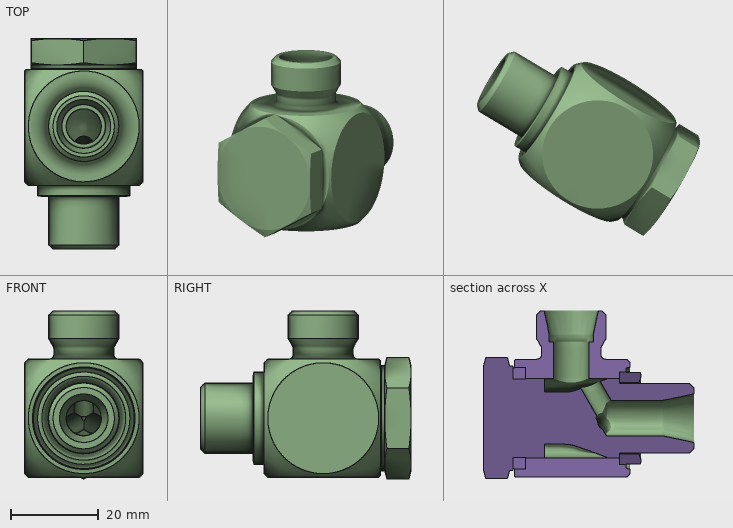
import cadquery as cq
import math


total_length = 48.0
head_back_y = 20.0
bolt_tip_y = head_back_y - total_length

housing_width = 27.0
half_width = housing_width / 2
housing_front_y = -half_width
housing_back_y = 13.0
sphere_radius = 18.5
housing_bore_dia = 18.0
groove_dia = 23.0
groove_depth = 1.0
groove_fillet = 0.45
groove_chamfer = 0.2
ring_seat_depth = 2.5

port_top_z = 24.5
port_dia = 16.0
port_chamfer = 1.0
port_thread_bottom_z = 18.15
neck_dia = 13.7
neck_fillet = 1.0
port_relief_angle = 30.0
port_bore_dia = 8.0
port_cone_mouth_dia = 12.3
port_cone_end_dia = 10.0
tube_stop_depth = 7.0
tube_cone_half_angle = 12.0

hex_across_flats = 24.0
hex_corner_radius = hex_across_flats / 2 / math.cos(math.radians(30))
hex_chamfer_angle = 15.0
hex_front_y = 14.0
collar_dia = 24.0
collar_front_y = 13.25
shank_dia = 17.95
waist_dia = 12.0
waist_back_y = 6.0
waist_fillet_start_y = 1.55
waist_fillet_length = 2.75
flare_angle = 20.0
shank_front_y = housing_front_y + ring_seat_depth
thread_dia = 16.0
thread_chamfer = 1.0
bolt_bore_dia = 8.0
bolt_cone_mouth_dia = 11.05
bolt_bore_end_y = -8.05
drill_half_angle = 59.0

flow_hole_count = 3
flow_hole_dia = 4.5
flow_hole_tilt = 30.0
flow_hole_exit_y = -4.35

ring_bore_dia = 16.2
front_ring_dia = 21.0
front_ring_edge_dia = 19.1
front_ring_tip_y = -16.0
front_ring_edge_drop = 0.2
front_ring_funnel_angle = 20.0

rear_ring_dia = 23.0


def cone_length(start_dia, end_dia, half_angle):
    """Axial length of a cone between two diameters."""
    return abs(start_dia - end_dia) / 2 / math.tan(math.radians(half_angle))


def revolve_about_y(profile):
    """Turn a closed (radius, y) profile drawn on the XY plane about the Y axis."""
    return profile.close().revolve(360, (0, 0, 0), (0, 1, 0))


def make_port():
    """Threaded tube connection with a relief neck, standing on the housing."""
    slope = math.radians(port_relief_angle)
    thread_radius = port_dia / 2
    neck_radius = neck_dia / 2
    relief_radius = neck_radius + neck_fillet * (1 - math.cos(slope))
    relief_bottom_z = port_thread_bottom_z - (thread_radius - relief_radius) / math.tan(slope)
    neck_top_z = relief_bottom_z - neck_fillet * math.sin(slope)
    half_slope = slope / 2
    fillet_mid = (
        neck_radius + neck_fillet * (1 - math.cos(half_slope)),
        neck_top_z + neck_fillet * math.sin(half_slope),
    )
    base_mid_offset = neck_fillet * (1 - math.sqrt(0.5))
    return (
        cq.Workplane("XZ")
        .moveTo(0, half_width - neck_fillet)
        .lineTo(neck_radius + neck_fillet, half_width - neck_fillet)
        .lineTo(neck_radius + neck_fillet, half_width)
        .threePointArc(
            (neck_radius + base_mid_offset, half_width + base_mid_offset),
            (neck_radius, half_width + neck_fillet),
        )
        .lineTo(neck_radius, neck_top_z)
        .threePointArc(fillet_mid, (relief_radius, relief_bottom_z))
        .lineTo(thread_radius, port_thread_bottom_z)
        .lineTo(thread_radius, port_top_z - port_chamfer)
        .lineTo(thread_radius - port_chamfer, port_top_z)
        .lineTo(0, port_top_z)
        .close()
        .revolve(360, (0, 0, 0), (0, 1, 0))
    )


def make_port_bore():
    """Tube cone, tube socket, stop ledge and flow bore, running down into the bolt bore."""
    cone_end_z = port_top_z - cone_length(port_cone_mouth_dia, port_cone_end_dia, tube_cone_half_angle)
    return (
        cq.Workplane("XZ")
        .lineTo(port_bore_dia / 2, 0)
        .lineTo(port_bore_dia / 2, port_top_z - tube_stop_depth)
        .lineTo(port_cone_end_dia / 2, port_top_z - tube_stop_depth)
        .lineTo(port_cone_end_dia / 2, cone_end_z)
        .lineTo(port_cone_mouth_dia / 2, port_top_z)
        .lineTo(0, port_top_z)
        .close()
        .revolve(360, (0, 0, 0), (0, 1, 0))
    )


def make_housing_bore():
    """Through bore for the bolt, with a ring seat at each end and a round-bottomed groove in the front face."""
    bore_radius = housing_bore_dia / 2
    groove_radius = groove_dia / 2
    front_seat_radius = front_ring_dia / 2
    rear_seat_radius = rear_ring_dia / 2
    groove_floor_y = housing_front_y + groove_depth
    fillet_mid_offset = groove_fillet * (1 - math.sqrt(0.5))
    return revolve_about_y(
        cq.Workplane("XY")
        .moveTo(0, housing_front_y)
        .lineTo(groove_radius + groove_chamfer, housing_front_y)
        .lineTo(groove_radius, housing_front_y + groove_chamfer)
        .lineTo(groove_radius, groove_floor_y - groove_fillet)
        .threePointArc(
            (groove_radius - fillet_mid_offset, groove_floor_y - fillet_mid_offset),
            (groove_radius - groove_fillet, groove_floor_y),
        )
        .lineTo(front_seat_radius, groove_floor_y)
        .lineTo(front_seat_radius, housing_front_y + ring_seat_depth)
        .lineTo(bore_radius, housing_front_y + ring_seat_depth)
        .lineTo(bore_radius, housing_back_y - ring_seat_depth)
        .lineTo(rear_seat_radius, housing_back_y - ring_seat_depth)
        .lineTo(rear_seat_radius, housing_back_y)
        .lineTo(0, housing_back_y)
    )


def make_housing():
    length = housing_back_y - housing_front_y
    block = cq.Workplane("XY").box(housing_width, length, housing_width)
    block = block.translate((0, (housing_back_y + housing_front_y) / 2, 0))
    block = block.intersect(cq.Workplane("XY").sphere(sphere_radius))
    return block.union(make_port()).cut(make_port_bore()).cut(make_housing_bore())


def make_hex_head():
    """Hexagon with corners up and down, chamfered on both faces."""
    prism = (
        cq.Workplane("XZ", origin=(0, head_back_y, 0))
        .polygon(6, 2 * hex_corner_radius)
        .extrude(head_back_y - hex_front_y)
        .rotate((0, 0, 0), (0, 1, 0), 30)
    )
    flat_radius = hex_across_flats / 2
    corner_drop = (hex_corner_radius - flat_radius) * math.tan(math.radians(hex_chamfer_angle))
    chamfer_envelope = revolve_about_y(
        cq.Workplane("XY")
        .moveTo(0, hex_front_y)
        .lineTo(flat_radius, hex_front_y)
        .lineTo(hex_corner_radius, hex_front_y + corner_drop)
        .lineTo(hex_corner_radius, head_back_y - corner_drop)
        .lineTo(flat_radius, head_back_y)
        .lineTo(0, head_back_y)
    )
    return prism.intersect(chamfer_envelope)


def flare_radius_at(y):
    """Radius of the flare cone, which leaves the waist through a tangent fillet."""
    slope = math.radians(flare_angle)
    fillet_rise = waist_fillet_length * math.tan(slope / 2)
    fillet_end_y = waist_fillet_start_y - waist_fillet_length
    return waist_dia / 2 + fillet_rise + (fillet_end_y - y) * math.tan(slope)


def make_bolt_shaft():
    """Collar, rear shank, waist flaring out to the front shank, and threaded end."""
    slope = math.radians(flare_angle)
    fillet_radius = waist_fillet_length / math.sin(slope)
    waist_radius = waist_dia / 2
    shank_radius = shank_dia / 2
    thread_radius = thread_dia / 2
    fillet_end_y = waist_fillet_start_y - waist_fillet_length
    fillet_mid = (
        waist_radius + fillet_radius * (1 - math.cos(slope / 2)),
        waist_fillet_start_y - fillet_radius * math.sin(slope / 2),
    )
    flare_end_y = fillet_end_y - (shank_radius - flare_radius_at(fillet_end_y)) / math.tan(slope)
    return revolve_about_y(
        cq.Workplane("XY")
        .moveTo(0, hex_front_y)
        .lineTo(collar_dia / 2, hex_front_y)
        .lineTo(collar_dia / 2, collar_front_y)
        .lineTo(shank_radius, collar_front_y)
        .lineTo(shank_radius, waist_back_y)
        .lineTo(waist_radius, waist_back_y)
        .lineTo(waist_radius, waist_fillet_start_y)
        .threePointArc(fillet_mid, (flare_radius_at(fillet_end_y), fillet_end_y))
        .lineTo(shank_radius, flare_end_y)
        .lineTo(shank_radius, shank_front_y)
        .lineTo(thread_radius, shank_front_y)
        .lineTo(thread_radius, bolt_tip_y + thread_chamfer)
        .lineTo(thread_radius - thread_chamfer, bolt_tip_y)
        .lineTo(0, bolt_tip_y)
    )


def make_bolt_bore():
    """Blind bore from the threaded end, with a cone mouth and a drill-point bottom."""
    bore_radius = bolt_bore_dia / 2
    cone_end_y = bolt_tip_y + cone_length(bolt_cone_mouth_dia, bolt_bore_dia, tube_cone_half_angle)
    return revolve_about_y(
        cq.Workplane("XY")
        .moveTo(0, bolt_tip_y)
        .lineTo(bolt_cone_mouth_dia / 2, bolt_tip_y)
        .lineTo(bore_radius, cone_end_y)
        .lineTo(bore_radius, bolt_bore_end_y)
        .lineTo(0, bolt_bore_end_y + cone_length(bolt_bore_dia, 0, drill_half_angle))
    )


def make_flow_hole():
    """Hole slanting from outside the flare to the bolt axis. It overruns the flare by its own diameter."""
    tilt = math.radians(flow_hole_tilt)
    outward = cq.Vector(0, math.sin(tilt), math.cos(tilt))
    exit_radius = flare_radius_at(flow_hole_exit_y)
    axis_y = flow_hole_exit_y - exit_radius * math.tan(tilt)
    length = exit_radius / math.cos(tilt) + flow_hole_dia
    cylinder = cq.Solid.makeCylinder(flow_hole_dia / 2, length, cq.Vector(0, axis_y, 0), outward)
    return cq.Workplane(obj=cylinder)


def make_bolt():
    bolt = make_hex_head().union(make_bolt_shaft()).cut(make_bolt_bore())
    for index in range(flow_hole_count):
        angle = index * 360 / flow_hole_count
        bolt = bolt.cut(make_flow_hole().rotate((0, 0, 0), (0, 1, 0), angle))
    return bolt


def make_front_ring():
    """Sealing ring with a sharp front edge and a funnel inside it, seated in the front of the housing."""
    bore_radius = ring_bore_dia / 2
    body_radius = front_ring_dia / 2
    edge_radius = front_ring_edge_dia / 2
    funnel_depth = (edge_radius - bore_radius) * math.tan(math.radians(front_ring_funnel_angle))
    seat_y = housing_front_y + ring_seat_depth
    return revolve_about_y(
        cq.Workplane("XY")
        .moveTo(bore_radius, seat_y)
        .lineTo(bore_radius, front_ring_tip_y + funnel_depth)
        .lineTo(edge_radius, front_ring_tip_y)
        .lineTo(body_radius, front_ring_tip_y + front_ring_edge_drop)
        .lineTo(body_radius, seat_y)
    )


def make_rear_ring():
    """Plain ring between the bolt collar and its seat in the back of the housing."""
    seat_y = housing_back_y - ring_seat_depth
    return (
        cq.Workplane("XZ", origin=(0, collar_front_y, 0))
        .circle(rear_ring_dia / 2)
        .circle(housing_bore_dia / 2)
        .extrude(collar_front_y - seat_y)
    )


housing = make_housing()
bolt = make_bolt()
front_ring = make_front_ring()
rear_ring = make_rear_ring()

result = cq.Compound.makeCompound([housing.val(), bolt.val(), front_ring.val(), rear_ring.val()])